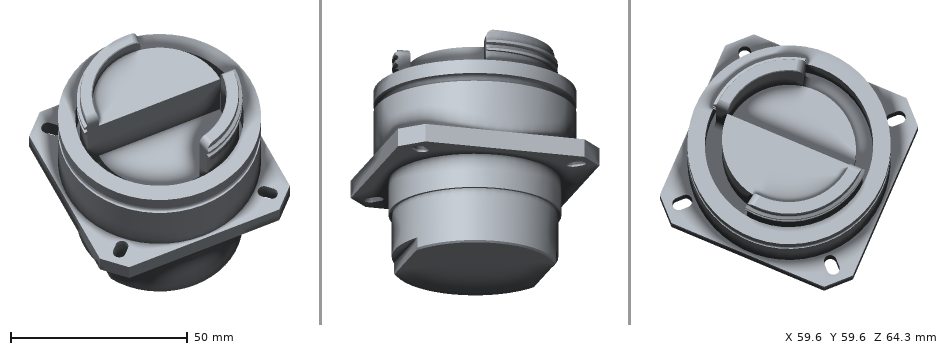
import cadquery as cq
import math

total_height = 64.25
shoulder_z = 16.1
flange_bottom_z = 26.1
flange_top_z = 31.35
barrel_top_z = 52.9
cup_floor_z = 41.4
insert_low_z = 45.3
insert_high_z = 60.1

lower_radius = 23.65
shoulder_radius = 24.55
bottom_chamfer = 0.5
flat_half_width = 20.55
flat_height = 3.55

flange_width = 59.6
flange_corner_chamfer = 6.25
slot_offset = 23.1
slot_length = 5.85
slot_width = 3.65

barrel_radius = 28.85
cup_radius = 23.9
groove_z = 47.7
groove_half_width = 1.15
groove_depth = 1.85

wall_inner_radius = 19.0
wall_outer_radius = 22.6
outer_lead_in_width = 0.2
outer_lead_in_height = 0.8
inner_rim_chamfer = 0.25
wall_segments = [(11.2, 89.6), (171.3, 270.0)]
end_round_radius = 2.6
end_round_drop = 2.5
end_foot_radius = 1.8

thread_pitch = 2.5
thread_crest_radius = 23.5
thread_crest_width = 0.8
thread_root_width = 1.75
thread_embed = 0.25
thread_bottom_z = 57.8
thread_start_z = 56.8
thread_end_angle = 120.0
thread_turns = 2 + thread_end_angle / 360.0


def cylinder(radius, bottom, top):
    return cq.Workplane("XY").workplane(offset=bottom).circle(radius).extrude(top - bottom)


def make_lower_body():
    body = cylinder(lower_radius, 0, shoulder_z).faces("<Z").chamfer(bottom_chamfer)
    flat_envelope = cq.Workplane("XY").box(
        2 * lower_radius, 2 * flat_half_width, flat_height, centered=(True, True, False)
    )
    flat_cutter = cylinder(2 * lower_radius, 0, flat_height).cut(flat_envelope)
    return body.cut(flat_cutter).union(cylinder(shoulder_radius, shoulder_z, flange_bottom_z))


def make_flange():
    plate = (
        cq.Workplane("XY")
        .workplane(offset=flange_bottom_z)
        .rect(flange_width, flange_width)
        .extrude(flange_top_z - flange_bottom_z)
        .edges("|Z")
        .chamfer(flange_corner_chamfer)
    )
    for angle in (45, 135, 225, 315):
        slot = (
            cq.Workplane("XY")
            .workplane(offset=flange_bottom_z)
            .center(slot_offset * math.sqrt(2), 0)
            .slot2D(slot_length, slot_width)
            .extrude(flange_top_z - flange_bottom_z)
            .rotate((0, 0, 0), (0, 0, 1), angle)
        )
        plate = plate.cut(slot)
    return plate


def make_barrel():
    groove_bottom_radius = barrel_radius - groove_depth
    groove_arc_radius = groove_bottom_radius + groove_half_width
    profile = (
        cq.Workplane("XZ")
        .moveTo(0, flange_top_z)
        .lineTo(barrel_radius, flange_top_z)
        .lineTo(barrel_radius, groove_z - groove_half_width)
        .lineTo(groove_arc_radius, groove_z - groove_half_width)
        .threePointArc((groove_bottom_radius, groove_z), (groove_arc_radius, groove_z + groove_half_width))
        .lineTo(barrel_radius, groove_z + groove_half_width)
        .lineTo(barrel_radius, barrel_top_z)
        .lineTo(cup_radius, barrel_top_z)
        .lineTo(cup_radius, cup_floor_z)
        .lineTo(0, cup_floor_z)
        .close()
    )
    return profile.revolve(360, (0, 0, 0), (0, 1, 0))


def make_insert():
    low_disc = cylinder(wall_inner_radius, cup_floor_z, insert_low_z)
    high_disc = cylinder(wall_inner_radius, insert_low_z, insert_high_z)
    left_half = cq.Workplane("XY").box(
        wall_inner_radius, 2 * wall_inner_radius, total_height, centered=(False, True, False)
    ).translate((-wall_inner_radius, 0, 0))
    return low_disc.union(high_disc.intersect(left_half))


def make_thread():
    root_radius = wall_outer_radius - thread_embed
    flank_slope = (thread_root_width - thread_crest_width) / (thread_crest_radius - wall_outer_radius)
    root_half = thread_root_width / 2 + flank_slope * thread_embed / 2
    crest_half = thread_crest_width / 2
    path = cq.Workplane(
        cq.Wire.makeHelix(thread_pitch, thread_pitch * thread_turns, root_radius)
    ).translate((0, 0, thread_start_z))
    ridge = (
        cq.Workplane("XZ")
        .moveTo(root_radius, thread_start_z - root_half)
        .lineTo(thread_crest_radius, thread_start_z - crest_half)
        .lineTo(thread_crest_radius, thread_start_z + crest_half)
        .lineTo(root_radius, thread_start_z + root_half)
        .close()
        .sweep(path, isFrenet=True)
    )
    return ridge.intersect(cylinder(barrel_radius, thread_bottom_z, total_height))


def make_wall_ring():
    profile = (
        cq.Workplane("XZ")
        .moveTo(wall_inner_radius, cup_floor_z)
        .lineTo(wall_outer_radius, cup_floor_z)
        .lineTo(wall_outer_radius, total_height - outer_lead_in_height)
        .lineTo(wall_outer_radius - outer_lead_in_width, total_height)
        .lineTo(wall_inner_radius + inner_rim_chamfer, total_height)
        .lineTo(wall_inner_radius, total_height - inner_rim_chamfer)
        .close()
    )
    return profile.revolve(360, (0, 0, 0), (0, 1, 0))


def sector(start_angle, end_angle):
    reach = 2 * barrel_radius
    corners = [(0, 0)]
    for angle in (start_angle, (start_angle + end_angle) / 2, end_angle):
        corners.append((reach * math.cos(math.radians(angle)), reach * math.sin(math.radians(angle))))
    return (
        cq.Workplane("XY").workplane(offset=cup_floor_z).polyline(corners).close()
        .extrude(total_height - cup_floor_z)
    )


def place_at_end(tool, angle, wall_side):
    if wall_side < 0:
        tool = tool.mirror("XZ")
    return tool.rotate((0, 0, 0), (0, 0, 1), angle)


def make_end_round_cutter():
    tangent_z = total_height - end_round_drop
    round_width = end_round_radius - math.sqrt(end_round_radius**2 - end_round_drop**2)
    mid_angle = math.asin(end_round_drop / end_round_radius) / 2
    middle = (
        end_round_radius * (1 - math.cos(mid_angle)),
        tangent_z + end_round_radius * math.sin(mid_angle),
    )
    return (
        cq.Workplane("YZ")
        .moveTo(0, tangent_z)
        .threePointArc(middle, (round_width, total_height))
        .lineTo(0, total_height)
        .close()
        .extrude(barrel_radius)
    )


def make_end_foot():
    foot_mid = end_foot_radius * (1 - math.sqrt(0.5))
    return (
        cq.Workplane("YZ")
        .moveTo(-end_foot_radius, cup_floor_z)
        .threePointArc((-foot_mid, cup_floor_z + foot_mid), (0, cup_floor_z + end_foot_radius))
        .lineTo(end_foot_radius, cup_floor_z + end_foot_radius)
        .lineTo(end_foot_radius, cup_floor_z)
        .close()
        .extrude(barrel_radius)
    )


def make_coupling_wall():
    threaded_ring = make_wall_ring().union(make_thread())
    round_cutter = make_end_round_cutter()
    foot = make_end_foot()
    wall = cq.Workplane("XY")
    for start_angle, end_angle in wall_segments:
        envelope = sector(start_angle, end_angle)
        for angle, wall_side in ((start_angle, 1), (end_angle, -1)):
            envelope = envelope.union(place_at_end(foot, angle, wall_side))
            envelope = envelope.cut(place_at_end(round_cutter, angle, wall_side))
        wall = wall.add(threaded_ring.intersect(envelope))
    return wall.combine()


result = (
    make_lower_body()
    .union(make_flange())
    .union(make_barrel())
    .union(make_insert())
    .union(make_coupling_wall())
)